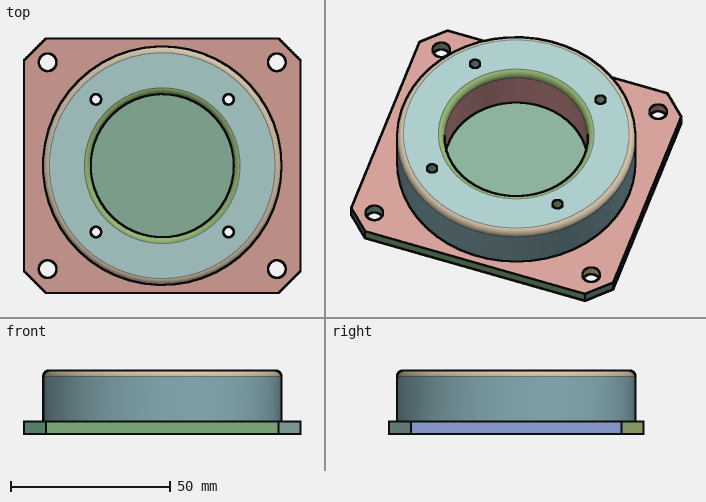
import cadquery as cq

plate_length = 87.0
plate_width = 80.0
plate_thickness = 4.0
corner_chamfer = 7.0
mount_hole_diameter = 5.5
mount_spacing_x = 72.0
mount_spacing_y = 65.0

total_height = 20.0
housing_diameter = 75.0
bore_diameter = 45.0
rim_fillet = 2.0
housing_height = total_height - plate_thickness

rim_hole_diameter = 3.2
rim_hole_spacing = 41.7


def make_plate():
    """Rectangular plate with its four corners cut off."""
    plate = cq.Workplane("XY").box(
        plate_length, plate_width, plate_thickness, centered=(True, True, False)
    )
    return plate.edges("|Z").chamfer(corner_chamfer)


def make_housing():
    """Ring on the plate, rounded along both edges of its top face."""
    ring = (
        cq.Workplane("XY")
        .workplane(offset=plate_thickness)
        .circle(housing_diameter / 2)
        .circle(bore_diameter / 2)
        .extrude(housing_height)
    )
    return ring.faces(">Z").edges().fillet(rim_fillet)


def make_hole_pattern(spacing_x, spacing_y, diameter):
    """Four full-height cutters at the corners of a rectangle."""
    return (
        cq.Workplane("XY")
        .rect(spacing_x, spacing_y, forConstruction=True)
        .vertices()
        .circle(diameter / 2)
        .extrude(total_height)
    )


mount_holes = make_hole_pattern(mount_spacing_x, mount_spacing_y, mount_hole_diameter)
rim_holes = make_hole_pattern(rim_hole_spacing, rim_hole_spacing, rim_hole_diameter)

result = make_plate().union(make_housing()).cut(mount_holes).cut(rim_holes)